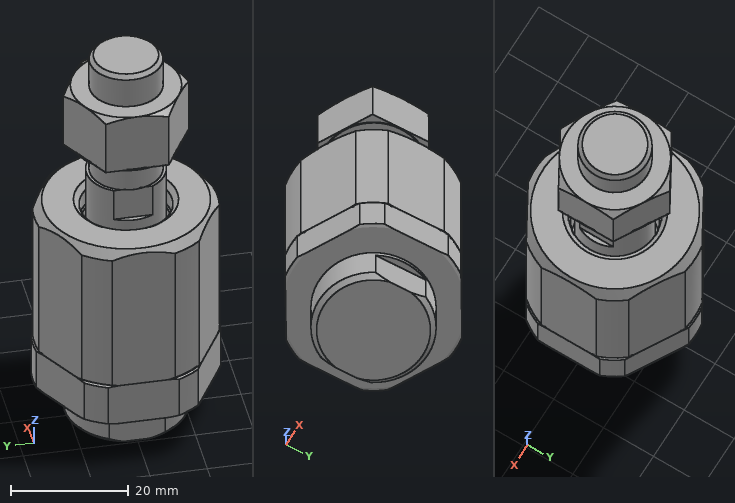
import cadquery as cq
import math


PLUG_FLAT_TOP = 7.1
RING_BOTTOM = 8.05
HOUSING_BOTTOM = 16.0
PLUG_TOP = 30.2
THROAT_LEDGE = 40.0
HOUSING_TOP = 44.0
STUD_FLAT_BOTTOM = 44.55
STUD_SHOULDER = 50.6
NUT_BOTTOM = 56.9
NUT_TOP = 68.2
STUD_TOP = 74.5

THREAD_DIAMETER = 12.7
STUD_TIP_CHAMFER = 0.75
SHANK_DIAMETER = 13.8
SHANK_ACROSS_FLATS = 12.0

NUT_ACROSS_FLATS = 19.0
NUT_TOP_CHAMFER = 0.8
BEARING_FACE_DIAMETER = 18.9
BEARING_FACE_HEIGHT = 0.3

BODY_ACROSS_FLATS = 30.0
HOUSING_CORNER_DIAMETER = 31.95
HOUSING_TOP_DIAMETER = 28.8
HOUSING_TOP_CHAMFER = 1.6
RING_CORNER_DIAMETER = 32.5
RIM_DIAMETER = 31.3
RIM_CHAMFER = 0.185

MOUTH_DIAMETER = 16.0
MOUTH_CHAMFER = 1.0
THROAT_DIAMETER = 15.2

PLUG_DIAMETER = 21.4
PLUG_ACROSS_FLATS = 19.0
PLUG_CHAMFER = 1.0


def cylinder(diameter, bottom, top):
    """Cylinder on the Z axis between two levels."""
    return cq.Workplane("XY").workplane(offset=bottom).circle(diameter / 2).extrude(top - bottom)


def hex_corner_diameter(across_flats):
    """Diameter of the circle through the corners of a hexagon."""
    return across_flats / math.cos(math.pi / 6)


def chamfered_hexagon(across_flats, corner, bottom, top, bottom_end, top_end):
    """Hexagonal prism with flats facing +X and -X, its corners turned to a diameter.

    Each end is coned down to a flat circle, given as (diameter, cone height); a bottom
    end of None is left square.
    """
    prism = (
        cq.Workplane("XY")
        .workplane(offset=bottom)
        .polygon(6, hex_corner_diameter(across_flats))
        .extrude(top - bottom)
        .rotate((0, 0, 0), (0, 0, 1), 90)
    )
    bottom_diameter, bottom_height = bottom_end or (corner, 0)
    top_diameter, top_height = top_end
    profile = [
        (0, top),
        (top_diameter / 2, top),
        (corner / 2, top - top_height),
        (corner / 2, bottom + bottom_height),
    ]
    if bottom_end:
        profile.append((bottom_diameter / 2, bottom))
    profile.append((0, bottom))
    turned = cq.Workplane("XZ").polyline(profile).close().revolve(360, (0, 0, 0), (0, 1, 0))
    return prism.intersect(turned)


def cut_flats(body, diameter, across_flats, bottom, top):
    """Cut two wrench flats, facing +X and -X, between two levels of a round body."""
    slab = cq.Workplane("XY").workplane(offset=bottom).rect(across_flats, 2 * diameter).extrude(top - bottom)
    return body.cut(cylinder(2 * diameter, bottom, top).cut(slab))


def make_stud():
    """Thread with a chamfered tip above a thicker shank with two wrench flats."""
    thread = cylinder(THREAD_DIAMETER, STUD_SHOULDER, STUD_TOP).faces(">Z").chamfer(STUD_TIP_CHAMFER)
    shank = cylinder(SHANK_DIAMETER, PLUG_TOP, STUD_SHOULDER)
    shank = cut_flats(shank, SHANK_DIAMETER, SHANK_ACROSS_FLATS, STUD_FLAT_BOTTOM, STUD_SHOULDER)
    return shank.union(thread)


def make_nut():
    """Jam nut on the thread of the stud."""
    corner = hex_corner_diameter(NUT_ACROSS_FLATS)
    hexagon_bottom = NUT_BOTTOM + BEARING_FACE_HEIGHT
    nut = chamfered_hexagon(
        NUT_ACROSS_FLATS, corner, hexagon_bottom, NUT_TOP, None, (NUT_ACROSS_FLATS, NUT_TOP_CHAMFER)
    )
    nut = nut.union(cylinder(BEARING_FACE_DIAMETER, NUT_BOTTOM, hexagon_bottom))
    return nut.cut(cylinder(THREAD_DIAMETER, NUT_BOTTOM, NUT_TOP))


def make_housing():
    """Hexagonal housing with a stepped, chamfered mouth above and the plug's hole below."""
    housing = chamfered_hexagon(
        BODY_ACROSS_FLATS,
        HOUSING_CORNER_DIAMETER,
        HOUSING_BOTTOM,
        HOUSING_TOP,
        (RIM_DIAMETER, RIM_CHAMFER),
        (HOUSING_TOP_DIAMETER, HOUSING_TOP_CHAMFER),
    )
    mouth = cylinder(MOUTH_DIAMETER, THROAT_LEDGE, HOUSING_TOP)
    housing = housing.cut(mouth).faces(">Z").edges(cq.selectors.RadiusNthSelector(0))
    housing = housing.chamfer(MOUTH_CHAMFER)
    housing = housing.cut(cylinder(THROAT_DIAMETER, PLUG_TOP, THROAT_LEDGE))
    return housing.cut(cylinder(PLUG_DIAMETER, HOUSING_BOTTOM, PLUG_TOP))


def make_lock_ring():
    """Hexagonal lock ring around the plug, tight against the housing."""
    ring = chamfered_hexagon(
        BODY_ACROSS_FLATS,
        RING_CORNER_DIAMETER,
        RING_BOTTOM,
        HOUSING_BOTTOM,
        (RIM_DIAMETER, RIM_CHAMFER),
        (RIM_DIAMETER, RIM_CHAMFER),
    )
    return ring.cut(cylinder(PLUG_DIAMETER, RING_BOTTOM, HOUSING_BOTTOM))


def make_plug():
    """Round plug with a chamfered lower end and two wrench flats."""
    plug = cylinder(PLUG_DIAMETER, 0, PLUG_TOP).faces("<Z").chamfer(PLUG_CHAMFER)
    return cut_flats(plug, PLUG_DIAMETER, PLUG_ACROSS_FLATS, 0, PLUG_FLAT_TOP)


stud = make_stud()
nut = make_nut()
housing = make_housing()
lock_ring = make_lock_ring()
plug = make_plug()

result = cq.Compound.makeCompound(
    [stud.val(), nut.val(), housing.val(), lock_ring.val(), plug.val()]
)